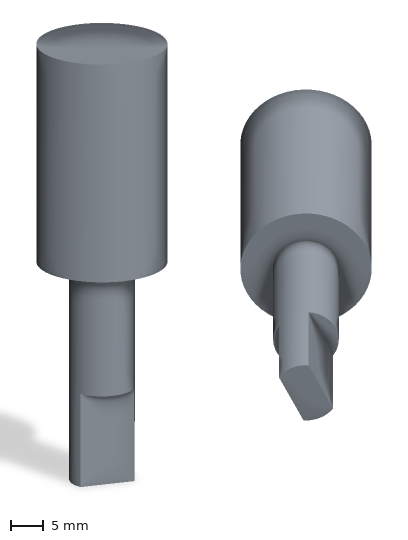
import cadquery as cq

total_length = 70.0
head_diameter = 20.0
head_length = 35.0
shank_diameter = head_diameter / 2
tang_length = 15.0
tang_thickness = shank_diameter / 2

shank_length = total_length - head_length


def make_cylinder(diameter, length, bottom):
    """Upright cylinder on the Z axis, starting at height bottom."""
    return cq.Workplane("XY").workplane(offset=bottom).circle(diameter / 2).extrude(length)


def make_tang_envelope():
    """Slab across the shank whose X faces are the two flats of the tang."""
    return cq.Workplane("XY").rect(tang_thickness, shank_diameter).extrude(tang_length)


tang = make_cylinder(shank_diameter, tang_length, 0).intersect(make_tang_envelope())

shank = make_cylinder(shank_diameter, shank_length - tang_length, tang_length)

head = make_cylinder(head_diameter, head_length, shank_length)

result = head.union(shank).union(tang)